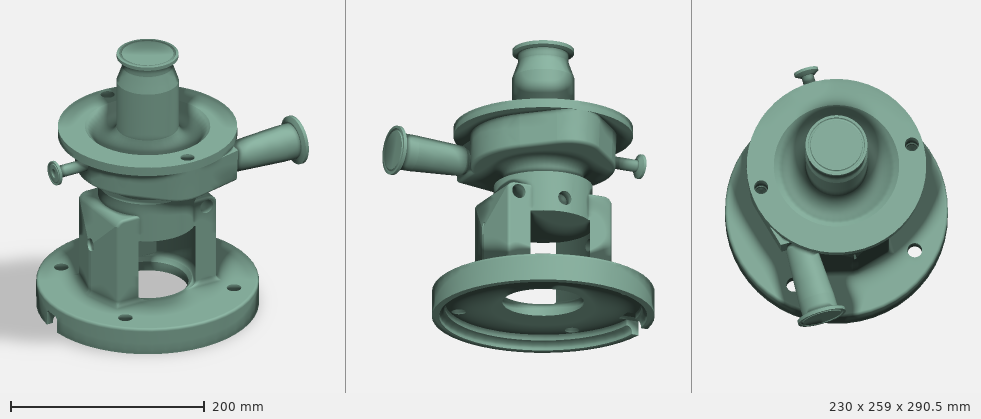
import cadquery as cq
import math

base_radius = 115.0
base_height = 29.0
base_edge_round = 3.0
base_bore_radius = 42.0
base_bore_chamfer = 3.8
base_bolt_circle_radius = 92.0
bolt_hole_radius = 7.5
base_bolt_count = 4

recess_radius = 107.5
recess_wall_height = 2.5
recess_round = 6.0
recess_depth = 15.0

slot_width = 21.0
slot_height = 17.7
slot_length = 23.2
slot_corner_chamfer = 3.0

leg_half_width = 39.5
leg_top = 127.0
leg_side_depth = 59.3
leg_slope = math.tan(math.radians(15))
ridge_half_width = 2.47
ridge_depth = leg_side_depth + (leg_half_width - ridge_half_width) * leg_slope
leg_bevel_start = 87.0
leg_bore_radius = 52.3
leg_corner_round = 3.0
leg_top_round = 10.0
leg_foot_round = 4.6
leg_hole_z = 85.5
leg_hole_radius = 6.7
leg_slit_width = 3.0
cross_hole_y = 47.4
cross_hole_z = 117.0

collar_radius = 51.0
collar_bottom = 98.0
collar_top = 141.0
collar_hole_z = 113.3
collar_hole_depth = 14.5
neck_radius = 41.5
neck_flare = 9.5

casing_bottom = 160.0
flange_bottom = 196.0
flange_top = 205.7
flange_radius = 92.7
casing_radius = 75.8
lobe_offset = 57.5
lobe_radius = casing_radius - lobe_offset * math.sqrt(0.5)
casing_draft = 2.0
casing_round = 3.8
boss_corner_x = 78.0
boss_face_y = 62.5
flange_hole_offset = 81.0
flange_hole_radius = 7.3
flange_hole_depth = 20.3
flange_pilot_radius = 5.8
flange_pilot_depth = 3.0

dish_rim_radius = 64.8
dish_cone_radius = 57.5
dish_cone_z = 198.7
dish_low_radius = 46.8
dish_low_z = 194.0

pipe_radius = 32.2
pipe_taper_bottom = 259.0
pipe_taper_top = 276.5
inlet_tube_radius = 26.0
inlet_end = 290.5

outlet_x = 57.8
outlet_z = 177.5
outlet_end = 144.0
outlet_tube_radius = 19.0
outlet_taper_start = 123.5
outlet_root_y = 66.5
outlet_root_radius = 15.7
outlet_root_chamfer = 2.3

drain_z = 180.5
drain_end = 112.5
drain_tube_radius = 6.5
drain_bore_radius = 4.6

root_overlap = 5.8


def rod(radius, origin, direction, length):
    """Cylinder from an origin along a direction."""
    return cq.Workplane(cq.Solid.makeCylinder(radius, length, cq.Vector(*origin), cq.Vector(*direction)))


def polar(radius, degrees, center_x=0.0):
    """Point in XY at an angle around a centre on the X axis."""
    angle = math.radians(degrees)
    return (center_x + radius * math.cos(angle), radius * math.sin(angle))


def turned(points):
    """Solid of revolution about Z from (radius, height) points."""
    return cq.Workplane("XZ").polyline(points).close().revolve(360, (0, 0, 0), (0, 1, 0))


def clamp_tube(profile, end, rim_radius, rim_thickness, cone_radius, cone_height, groove):
    """Turned tube along Z that ends in a clamp ferrule with a gasket groove in its face."""
    tube_radius = profile[-1][0]
    rim_bottom = end - rim_thickness
    cone_bottom = rim_bottom - cone_height
    start = profile[0][1]
    tube = turned(
        [(0, start)]
        + profile
        + [
            (tube_radius, cone_bottom),
            (cone_radius, cone_bottom),
            (rim_radius, rim_bottom),
            (rim_radius, end),
            (0, end),
        ]
    )
    groove_inner, groove_outer = groove
    groove_depth = (groove_outer - groove_inner) / 2
    groove_ring = (
        cq.Workplane("XZ")
        .moveTo(groove_inner, end)
        .threePointArc(((groove_inner + groove_outer) / 2, end - groove_depth), (groove_outer, end))
        .close()
        .revolve(360, (0, 0, 0), (0, 1, 0))
    )
    return tube.cut(groove_ring)


def base_plate():
    return (
        cq.Workplane("XY")
        .circle(base_radius)
        .extrude(base_height)
        .faces(">Z")
        .edges()
        .fillet(base_edge_round)
    )


def base_recess():
    """Recess under the base: a rounded outer step around a flat ceiling."""
    inner_radius = recess_radius - recess_round
    step_top = recess_wall_height + recess_round
    arc_offset = recess_round * math.sqrt(0.5)
    return (
        cq.Workplane("XZ")
        .lineTo(recess_radius, 0)
        .lineTo(recess_radius, recess_wall_height)
        .threePointArc(
            (inner_radius + arc_offset, recess_wall_height + arc_offset), (inner_radius, step_top)
        )
        .lineTo(inner_radius, recess_depth)
        .lineTo(0, recess_depth)
        .close()
        .revolve(360, (0, 0, 0), (0, 1, 0))
    )


def base_bore():
    """Central hole with a chamfered upper rim."""
    chamfer_bottom = base_height - base_bore_chamfer
    rim_radius = base_bore_radius + base_bore_chamfer
    return turned(
        [
            (0, 0),
            (base_bore_radius, 0),
            (base_bore_radius, chamfer_bottom),
            (rim_radius, base_height),
            (0, base_height),
        ]
    )


def rim_slot():
    """Slot through the -Y rim, open at the bottom, with chamfered upper corners."""
    return (
        cq.Workplane("XY")
        .box(slot_width, slot_length, slot_height, centered=(True, False, False))
        .edges("|Y and >Z")
        .chamfer(slot_corner_chamfer)
        .translate((0, -base_radius, 0))
    )


def front_leg():
    """Leg on the -Y side: two sloping faces meet at a ridge, bevelled at the top."""
    leg = (
        cq.Workplane("XY", origin=(0, 0, base_height))
        .polyline(
            [
                (-leg_half_width, 0),
                (-leg_half_width, -leg_side_depth),
                (-ridge_half_width, -ridge_depth),
                (ridge_half_width, -ridge_depth),
                (leg_half_width, -leg_side_depth),
                (leg_half_width, 0),
            ]
        )
        .close()
        .extrude(leg_top - base_height)
    )
    bevel_depth = (leg_top - leg_bevel_start) * leg_slope
    bevel = (
        cq.Workplane("YZ", origin=(-leg_half_width, 0, 0))
        .polyline(
            [
                (-ridge_depth, leg_bevel_start),
                (-ridge_depth, leg_top),
                (-ridge_depth + bevel_depth, leg_top),
            ]
        )
        .close()
        .extrude(2 * leg_half_width)
    )
    leg = leg.cut(bevel)
    leg = leg.faces(">Z").edges("<Y").fillet(leg_top_round)
    bore = rod(leg_bore_radius, (0, 0, base_height), (0, 0, 1), collar_bottom - base_height)
    return leg.cut(bore)


def bracket():
    """Base plate with both legs, rounded feet and edges, and all holes up to the collar."""
    leg = front_leg()
    body = base_plate().union(leg).union(leg.mirror("XZ"))
    reach_x = leg_half_width + leg_foot_round
    reach_y = ridge_depth + leg_foot_round
    foot_edges = cq.selectors.BoxSelector(
        (-reach_x, -reach_y, base_height - base_edge_round / 2),
        (reach_x, reach_y, base_height + base_edge_round / 2),
    )
    body = body.edges(foot_edges).fillet(leg_foot_round)
    side_edges = []
    for x in (-leg_half_width, leg_half_width):
        for y in (-leg_side_depth, leg_side_depth):
            upright = (x, y, (base_height + leg_top) / 2)
            top_side = (x, y / 2, leg_top)
            for point in (upright, top_side):
                side_edges += body.edges(cq.selectors.NearestToPointSelector(point)).vals()
    body = body.newObject(side_edges).fillet(leg_corner_round)
    body = body.cut(base_recess()).cut(base_bore()).cut(rim_slot())
    for index in range(base_bolt_count):
        x, y = polar(base_bolt_circle_radius, 45 + index * 360 / base_bolt_count)
        body = body.cut(rod(bolt_hole_radius, (x, y, 0), (0, 0, 1), base_height))
    body = body.cut(rod(leg_hole_radius, (0, 0, leg_hole_z), (0, -1, 0), base_radius))
    slit = cq.Workplane("XY").box(
        leg_slit_width, base_radius, 2 * leg_hole_radius, centered=(True, False, True)
    )
    return body.cut(slit.translate((0, 0, leg_hole_z)))


def collar_and_neck():
    """Collar on the legs and the neck that flares out under the casing."""
    collar = rod(collar_radius, (0, 0, collar_bottom), (0, 0, 1), collar_top - collar_bottom)
    flare_start = casing_bottom - neck_flare
    arc_offset = neck_flare * (1 - math.sqrt(0.5))
    neck = (
        cq.Workplane("XZ")
        .moveTo(0, collar_top)
        .lineTo(neck_radius, collar_top)
        .lineTo(neck_radius, flare_start)
        .threePointArc(
            (neck_radius + arc_offset, casing_bottom - arc_offset),
            (neck_radius + neck_flare, casing_bottom),
        )
        .lineTo(0, casing_bottom)
        .close()
        .revolve(360, (0, 0, 0), (0, 1, 0))
    )
    side_hole = rod(bolt_hole_radius, (-collar_radius, 0, collar_hole_z), (1, 0, 0), collar_hole_depth)
    return collar.union(neck).cut(side_hole)


def casing_body():
    """Drafted casing: a round middle, two bolt lobes and a flat boss for the outlet."""
    corner_distance = math.hypot(boss_corner_x - lobe_offset, boss_face_y)
    corner_angle = math.degrees(math.atan2(boss_face_y, boss_corner_x - lobe_offset))
    boss_tangent_angle = corner_angle - math.degrees(math.acos(lobe_radius / corner_distance))
    boss_start_x = math.sqrt(casing_radius**2 - boss_face_y**2)
    return (
        cq.Workplane("XY", origin=(0, 0, flange_bottom))
        .moveTo(*polar(casing_radius, -45))
        .lineTo(*polar(lobe_radius, -45, lobe_offset))
        .threePointArc(
            polar(lobe_radius, 0, lobe_offset), polar(lobe_radius, boss_tangent_angle, lobe_offset)
        )
        .lineTo(boss_corner_x, boss_face_y)
        .lineTo(boss_start_x, boss_face_y)
        .threePointArc(polar(casing_radius, 90), polar(casing_radius, 135))
        .lineTo(*polar(lobe_radius, 135, -lobe_offset))
        .threePointArc(polar(lobe_radius, 180, -lobe_offset), polar(lobe_radius, 225, -lobe_offset))
        .lineTo(*polar(casing_radius, 225))
        .threePointArc(polar(casing_radius, 270), polar(casing_radius, 315))
        .close()
        .extrude(casing_bottom - flange_bottom, taper=casing_draft)
        .faces("<Z")
        .edges()
        .fillet(casing_round)
    )


def dish():
    """Ring-shaped trough around the inlet pipe with a conical outer wall."""
    return (
        cq.Workplane("XZ")
        .moveTo(pipe_radius, flange_top)
        .threePointArc((dish_low_radius, dish_low_z), (dish_cone_radius, dish_cone_z))
        .lineTo(dish_rim_radius, flange_top)
        .close()
        .revolve(360, (0, 0, 0), (0, 1, 0))
    )


def flange_hole():
    """Blind stepped hole with a drill point, open at the top of the flange."""
    step_z = flange_top - flange_hole_depth
    pilot_z = step_z - flange_pilot_depth
    point_z = pilot_z - flange_pilot_radius
    return turned(
        [
            (0, flange_top),
            (flange_hole_radius, flange_top),
            (flange_hole_radius, step_z),
            (flange_pilot_radius, step_z),
            (flange_pilot_radius, pilot_z),
            (0, point_z),
        ]
    )


def casing():
    flange = rod(flange_radius, (0, 0, flange_bottom), (0, 0, 1), flange_top - flange_bottom)
    body = casing_body().union(flange).cut(dish())
    for side in (-1, 1):
        body = body.cut(flange_hole().translate((side * flange_hole_offset, 0, 0)))
    return body


def inlet():
    profile = [
        (pipe_radius, flange_bottom),
        (pipe_radius, pipe_taper_bottom),
        (inlet_tube_radius, pipe_taper_top),
    ]
    return clamp_tube(
        profile,
        inlet_end,
        rim_radius=32.0,
        rim_thickness=3.8,
        cone_radius=27.5,
        cone_height=1.7,
        groove=(26.7, 29.3),
    )


def outlet():
    """Tapered pipe along +Y whose root narrows into the boss."""
    root_tip_y = boss_face_y - root_overlap
    profile = [
        (outlet_root_radius - outlet_root_chamfer, root_tip_y),
        (outlet_root_radius - outlet_root_chamfer, boss_face_y),
        (outlet_root_radius, outlet_root_y),
        (outlet_tube_radius, outlet_taper_start),
    ]
    pipe = clamp_tube(
        profile,
        outlet_end,
        rim_radius=25.5,
        rim_thickness=3.5,
        cone_radius=20.3,
        cone_height=2.3,
        groove=(20.3, 23.0),
    )
    return pipe.rotate((0, 0, 0), (1, 0, 0), -90).translate((outlet_x, 0, outlet_z))


def drain():
    """Small bored clamp tube along -Y."""
    tube = clamp_tube(
        [(drain_tube_radius, casing_radius - root_overlap)],
        drain_end,
        rim_radius=12.8,
        rim_thickness=3.0,
        cone_radius=7.5,
        cone_height=3.2,
        groove=(9.5, 11.5),
    )
    bore = rod(drain_bore_radius, (0, 0, casing_radius), (0, 0, 1), drain_end - casing_radius)
    return tube.cut(bore).rotate((0, 0, 0), (1, 0, 0), 90).translate((0, 0, drain_z))


cross_hole = rod(
    bolt_hole_radius, (-leg_half_width, cross_hole_y, cross_hole_z), (1, 0, 0), 2 * leg_half_width
)

result = (
    bracket()
    .union(collar_and_neck())
    .cut(cross_hole)
    .union(casing())
    .union(inlet())
    .union(outlet())
    .union(drain())
)